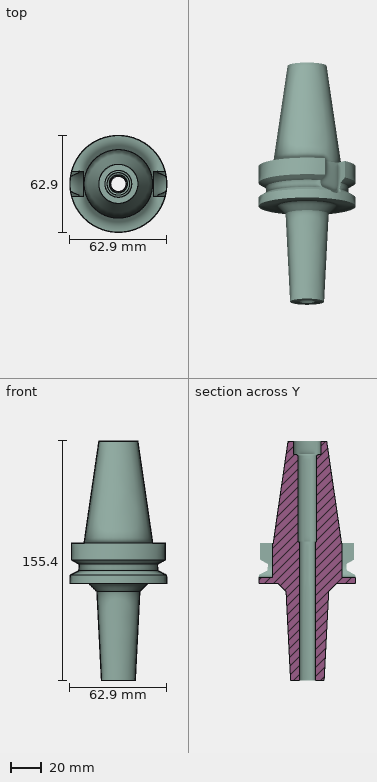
import cadquery as cq

total_height = 155.4
gauge_z = 90.0
flange_top_z = 89.2
flange_bottom_z = 63.0
neck_top_z = 57.8

flange_radius = 31.47
gauge_radius = 22.2
taper_slope = 7 / 48
shoulder_radius = 19.1
neck_radius = 14.0
nose_radius = 11.0

groove_radius = 26.7
groove_top_z = 78.3
groove_bottom_z = 68.5
groove_wall_height = 2.8

slot_width = 16.2
slot_bottom_z = 67.1
slot_floor_x = 22.7

mouth_radius = 8.7
mouth_depth = 8.5
lead_in_radius = 7.3
lead_in_height = 0.85
thread_radius = 5.9
thread_depth = total_height - gauge_z
through_radius = 5.0


def revolve_profile(points):
    """Revolve an (r, z) outline about the Z axis."""
    return cq.Workplane("XZ").polyline(points).close().revolve(360, (0, 0), (0, 1))


def make_body():
    taper_top_radius = gauge_radius - taper_slope * (total_height - gauge_z)
    return revolve_profile([
        (0, 0),
        (nose_radius, 0),
        (neck_radius, neck_top_z),
        (shoulder_radius, flange_bottom_z),
        (flange_radius, flange_bottom_z),
        (flange_radius, groove_bottom_z),
        (groove_radius, groove_bottom_z + groove_wall_height),
        (groove_radius, groove_top_z - groove_wall_height),
        (flange_radius, groove_top_z),
        (flange_radius, flange_top_z),
        (gauge_radius, flange_top_z),
        (gauge_radius, gauge_z),
        (taper_top_radius, total_height),
        (0, total_height),
    ])


def make_bore():
    ledge_z = total_height - mouth_depth
    thread_end_z = total_height - thread_depth
    return revolve_profile([
        (0, 0),
        (through_radius, 0),
        (through_radius, thread_end_z),
        (thread_radius, thread_end_z),
        (thread_radius, ledge_z - lead_in_height),
        (lead_in_radius, ledge_z),
        (mouth_radius, ledge_z),
        (mouth_radius, total_height),
        (0, total_height),
    ])


def make_drive_slot(side):
    """Round-bottomed slot cutter on the +X (side = 1) or -X (side = -1) flank."""
    half_width = slot_width / 2
    arc_center_z = slot_bottom_z + half_width
    return (
        cq.Workplane("YZ", origin=(side * slot_floor_x, 0, 0))
        .moveTo(-half_width, flange_top_z)
        .lineTo(-half_width, arc_center_z)
        .threePointArc((0, slot_bottom_z), (half_width, arc_center_z))
        .lineTo(half_width, flange_top_z)
        .close()
        .extrude(side * (flange_radius - slot_floor_x))
    )


result = make_body().cut(make_bore())
for side in (-1, 1):
    result = result.cut(make_drive_slot(side))